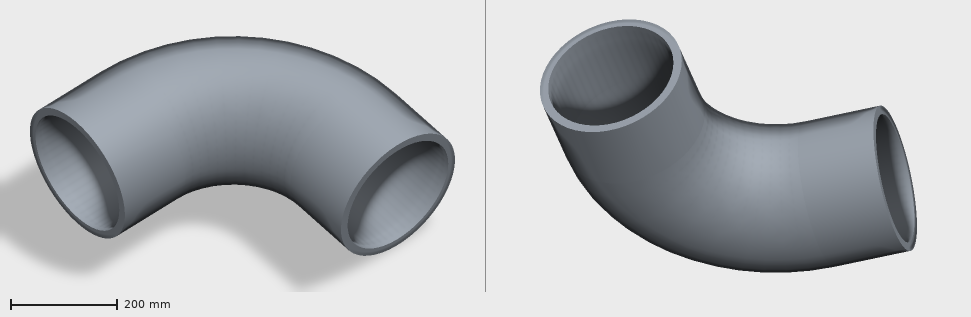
import cadquery as cq

overall_length = 569.0
outer_diameter = 280.0
wall = 16.5
bend_radius = outer_diameter

outer_radius = outer_diameter / 2
inner_radius = outer_radius - wall
straight_length = overall_length - bend_radius - outer_radius


def elbow_solid(radius):
    """Round bar following the elbow: a straight leg along +Y, a bend, a straight leg along +X."""
    leg_y = cq.Workplane("XZ").circle(radius).extrude(-straight_length)
    bend = (
        cq.Workplane("XZ", origin=(0, straight_length, 0))
        .circle(radius)
        .revolve(90, (bend_radius, 5.5, 0), (bend_radius, -5.5, 0))
    )
    leg_x = (
        cq.Workplane("YZ", origin=(bend_radius, straight_length + bend_radius, 0))
        .circle(radius)
        .extrude(straight_length)
    )
    return leg_y.union(bend).union(leg_x)


result = elbow_solid(outer_radius).cut(elbow_solid(inner_radius))